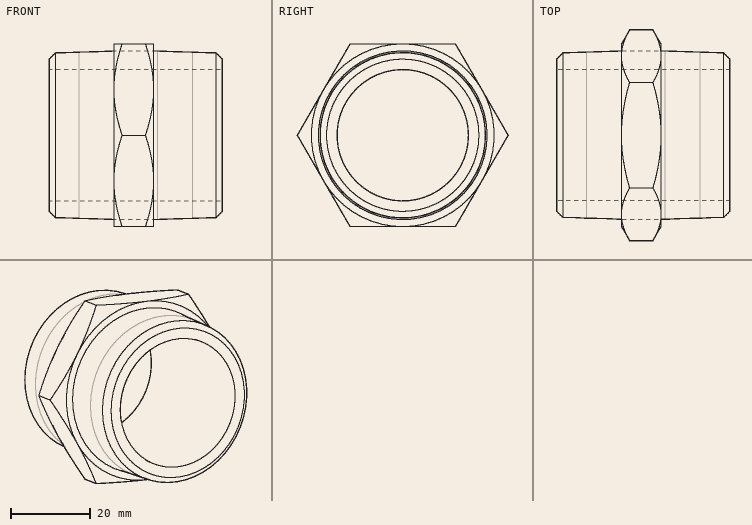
import cadquery as cq
import math

bore_diameter = 33.0
thread_length = 16.3
middle_length = 11.0
end_chamfer = 1.6

gauge_diameter = 41.91
gauge_distance = 7.5
taper_ratio = 1 / 16

hex_across_flats = 46.0
hex_thickness = 10.0
hex_sides = 6
hex_chamfer_angle = 30.0

total_length = 2 * thread_length + middle_length
bore_radius = bore_diameter / 2
gauge_radius = gauge_diameter / 2
end_radius = gauge_radius - (gauge_distance - end_chamfer) * taper_ratio / 2
middle_radius = gauge_radius + (thread_length - gauge_distance) * taper_ratio / 2


def make_nipple():
    """Revolve the wall section: two tapered ends joined by a plain middle cylinder."""
    left_end = [
        (0, end_radius - end_chamfer),
        (end_chamfer, end_radius),
        (gauge_distance, gauge_radius),
        (thread_length, middle_radius),
    ]
    right_end = [(total_length - x, r) for x, r in reversed(left_end)]
    section = [(0, bore_radius)] + left_end + right_end + [(total_length, bore_radius)]
    return cq.Workplane("XY").polyline(section).close().revolve(360, (0, 0, 0), (1, 0, 0), clean=False)


def make_hex_ring():
    """Hexagon with corners on +Y and -Y, its corners turned off by a cone on both faces."""
    flat_radius = hex_across_flats / 2
    corner_radius = flat_radius / math.cos(math.pi / hex_sides)
    chamfer_depth = (corner_radius - flat_radius) * math.tan(math.radians(hex_chamfer_angle))
    left_face = thread_length
    right_face = thread_length + hex_thickness

    prism = (
        cq.Workplane("YZ", origin=(left_face, 0, 0))
        .polygon(hex_sides, 2 * corner_radius)
        .extrude(hex_thickness)
    )
    turned_section = [
        (left_face, middle_radius),
        (left_face, flat_radius),
        (left_face + chamfer_depth, corner_radius),
        (right_face - chamfer_depth, corner_radius),
        (right_face, flat_radius),
        (right_face, middle_radius),
    ]
    turned_ring = cq.Workplane("XY").polyline(turned_section).close().revolve(360, (0, 0, 0), (1, 0, 0))
    return prism.intersect(turned_ring)


nipple = make_nipple()
hex_ring = make_hex_ring()
result = cq.Compound.makeCompound([nipple.val(), hex_ring.val()])